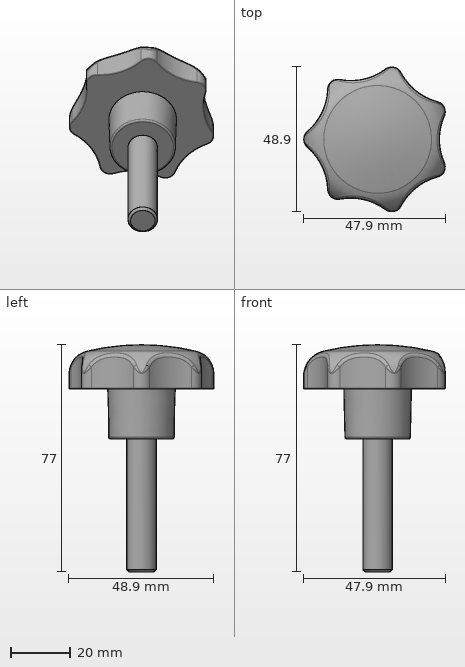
import cadquery as cq
import math

total_height = 77.0
hub_bottom = 45.05
head_bottom = 62.1

lobe_count = 7
head_radius = 25.0
blank_clearance = 0.1
lobe_tip_radius = 3.55
valley_distance = 20.95
dome_rim_radius = 18.25
dome_rise = 2.15
scallop_edge_fillet = 1.55
bottom_edge_fillet = 0.2

hub_top_radius = 11.5
hub_bottom_radius = 11.1
hub_edge_fillet = 0.7

stud_radius = 5.0
stud_chamfer = 0.85

lobe_pitch = 2 * math.pi / lobe_count
lobe_center_distance = head_radius - lobe_tip_radius
half_pitch_reach = lobe_center_distance * math.cos(lobe_pitch / 2)
scallop_radius = (
    (valley_distance**2 + lobe_center_distance**2 - lobe_tip_radius**2 - 2 * valley_distance * half_pitch_reach)
    / (2 * (half_pitch_reach + lobe_tip_radius - valley_distance))
)
scallop_center_distance = valley_distance + scallop_radius

dome_radius = (dome_rim_radius**2 + dome_rise**2) / (2 * dome_rise)
dome_rim_angle = math.asin(dome_rim_radius / dome_radius)
dome_rim_height = total_height - dome_rise
blank_radius = head_radius + blank_clearance
shoulder_radius = (blank_radius - dome_rim_radius) / (1 - math.sin(dome_rim_angle))
shoulder_bottom = dome_rim_height - shoulder_radius * math.cos(dome_rim_angle)


def polar(distance, angle):
    return (distance * math.cos(angle), distance * math.sin(angle))


def star_outline():
    """Closed outline of alternating lobe tips and scallops, with one lobe pointing along -X."""
    tip_share = lobe_tip_radius / (lobe_tip_radius + scallop_radius)

    def tangent_point(lobe_angle, scallop_angle):
        lobe_x, lobe_y = polar(lobe_center_distance, lobe_angle)
        scallop_x, scallop_y = polar(scallop_center_distance, scallop_angle)
        return (
            lobe_x + tip_share * (scallop_x - lobe_x),
            lobe_y + tip_share * (scallop_y - lobe_y),
        )

    outline = cq.Workplane("XY", origin=(0, 0, head_bottom))
    outline = outline.moveTo(*tangent_point(math.pi, math.pi - lobe_pitch / 2))
    for index in range(lobe_count):
        lobe_angle = math.pi + index * lobe_pitch
        scallop_angle = lobe_angle + lobe_pitch / 2
        next_lobe_angle = lobe_angle + lobe_pitch
        outline = outline.threePointArc(
            polar(head_radius, lobe_angle), tangent_point(lobe_angle, scallop_angle)
        )
        outline = outline.threePointArc(
            polar(valley_distance, scallop_angle), tangent_point(next_lobe_angle, scallop_angle)
        )
    return outline.close()


def domed_blank():
    """Round blank with a shallow dome and a rounded shoulder."""
    dome_mid = (
        dome_radius * math.sin(dome_rim_angle / 2),
        total_height - dome_radius * (1 - math.cos(dome_rim_angle / 2)),
    )
    shoulder_mid_angle = (math.pi / 2 - dome_rim_angle) / 2
    shoulder_mid = (
        blank_radius - shoulder_radius * (1 - math.cos(shoulder_mid_angle)),
        shoulder_bottom + shoulder_radius * math.sin(shoulder_mid_angle),
    )
    return (
        cq.Workplane("XZ")
        .moveTo(0, head_bottom)
        .lineTo(blank_radius, head_bottom)
        .lineTo(blank_radius, shoulder_bottom)
        .threePointArc(shoulder_mid, (dome_rim_radius, dome_rim_height))
        .threePointArc(dome_mid, (0, total_height))
        .close()
        .revolve()
        .rotate((0, 0, 0), (0, 0, 1), 180)
    )


def make_head():
    """Star cut from the domed blank, with the scallop rims and the bottom edge rounded."""
    star = star_outline().extrude(total_height - head_bottom)
    head = domed_blank().intersect(star)
    head = head.edges("%BSPLINE").fillet(scallop_edge_fillet)
    return head.faces("<Z").edges().fillet(bottom_edge_fillet)


def make_hub():
    """Slightly tapered boss under the head, narrowing downwards."""
    hub = (
        cq.Workplane("XZ")
        .moveTo(0, hub_bottom)
        .lineTo(hub_bottom_radius, hub_bottom)
        .lineTo(hub_top_radius, head_bottom)
        .lineTo(0, head_bottom)
        .close()
        .revolve()
    )
    return hub.faces("<Z").edges().fillet(hub_edge_fillet)


def make_knob():
    return make_head().union(make_hub())


def make_stud():
    """Plain round stud that butts against the underside of the hub."""
    stud = cq.Workplane("XY").circle(stud_radius).extrude(hub_bottom)
    return stud.faces("<Z").edges().chamfer(stud_chamfer)


knob = make_knob()
stud = make_stud()
result = cq.Compound.makeCompound([knob.val(), stud.val()])